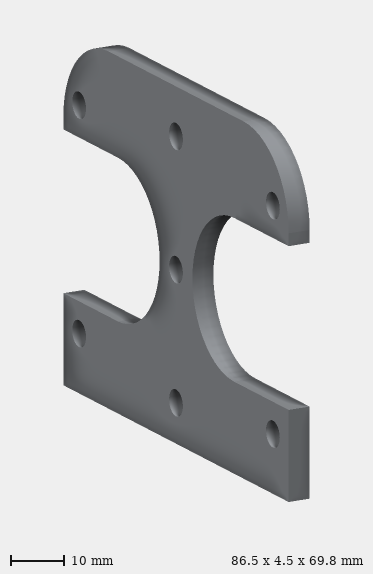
import cadquery as cq

width = 86.5
thickness = 4.5
height = 69.8
corner_radius = 17.3

waist_width = 12.6
slot_width = 32.0
slot_center_z = 34.0
slot_radius = slot_width / 2
slot_end_x = waist_width / 2 + slot_radius

hole_diameter = 5.3
center_hole_pitch = 26.05
outer_hole_x = 37.2
outer_hole_offset_z = 22.3


def make_plate():
    """Plate centred on X and Y, resting on Z = 0, with rounded top corners."""
    plate = cq.Workplane("XY").box(width, thickness, height, centered=(True, True, False))
    return plate.edges("|Y and >Z").fillet(corner_radius)


def make_slot(side):
    """Slot cutter open at the left (side = -1) or right (side = 1) edge."""
    slot_length = width / 2 - slot_end_x
    center = (side * slot_end_x, slot_center_z)
    round_end = (
        cq.Workplane("XZ").center(*center).circle(slot_radius).extrude(thickness, both=True)
    )
    straight = (
        cq.Workplane("XZ")
        .center(center[0] + side * slot_length / 2, slot_center_z)
        .rect(slot_length, slot_width)
        .extrude(thickness, both=True)
    )
    return round_end.union(straight)


def make_holes():
    """Cutters for three holes along the waist and one near each plate corner."""
    center_points = [(0, step * center_hole_pitch) for step in (-1, 0, 1)]
    outer_points = [
        (x_side * outer_hole_x, z_side * outer_hole_offset_z)
        for x_side in (-1, 1)
        for z_side in (-1, 1)
    ]
    return (
        cq.Workplane("XZ")
        .center(0, slot_center_z)
        .pushPoints(center_points + outer_points)
        .circle(hole_diameter / 2)
        .extrude(thickness, both=True)
    )


result = make_plate()
for side in (-1, 1):
    result = result.cut(make_slot(side))
result = result.cut(make_holes())